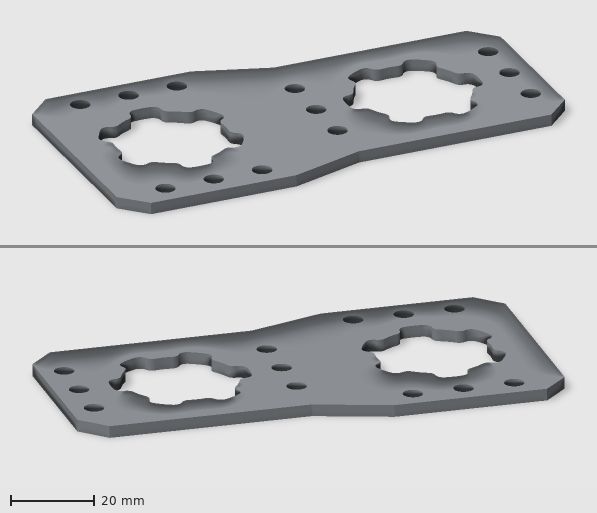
import cadquery as cq

thickness = 3.0
wide_width = 63.0
hole_span = 50.8
hole_diameter = 4.9
corner_chamfer = 6.3

bore_radius = 14.3
lobe_tip_radius = 17.5
lobe_width = 8.1
lobe_count = 6
lobe_fillet = 2.0

pitch = hole_span / 4
edge_margin = (wide_width - hole_span) / 2
hub_spacing = 5 * pitch
length = hub_spacing + hole_span + edge_margin

bottom_y = -length / 2
lower_hub_y = bottom_y + hole_span / 2
upper_hub_y = lower_hub_y + hub_spacing
top_y = length / 2
taper_start_y = lower_hub_y + 1.5 * pitch
taper_end_y = upper_hub_y - hole_span / 2

wide_half = wide_width / 2
narrow_half = hole_span / 2


def plate():
    """Wide lower end tapering to a narrow upper end, with chamfered corners."""
    right_side = [
        (wide_half - corner_chamfer, bottom_y),
        (wide_half, bottom_y + corner_chamfer),
        (wide_half, taper_start_y),
        (narrow_half, taper_end_y),
        (narrow_half, top_y - corner_chamfer),
        (narrow_half - corner_chamfer, top_y),
    ]
    left_side = [(-x, y) for x, y in reversed(right_side)]
    return cq.Workplane("XY").polyline(right_side + left_side).close().extrude(thickness)


def hub_opening(hub_y, first_lobe_angle):
    """Cutter for one lobed opening, with rounded lobe roots and tips."""
    bore_and_bars = cq.Workplane("XY").circle(bore_radius).extrude(thickness)
    for index in range(lobe_count // 2):
        angle = first_lobe_angle + index * 360 / lobe_count
        bar = cq.Workplane("XY").rect(2 * lobe_tip_radius, lobe_width).extrude(thickness)
        bore_and_bars = bore_and_bars.union(bar.rotate((0, 0, 0), (0, 0, 1), angle))
    tip_disc = cq.Workplane("XY").circle(lobe_tip_radius).extrude(thickness)
    opening = tip_disc.intersect(bore_and_bars).edges("|Z").fillet(lobe_fillet)
    return opening.translate((0, hub_y, 0))


def round_holes():
    """Cutter for the hole rows that flank the two hubs."""
    offsets = (-pitch, 0, pitch)
    half_span = hole_span / 2
    centres = []
    for offset in offsets:
        for side in (-half_span, half_span):
            centres.append((offset, upper_hub_y + side))
            centres.append((side, lower_hub_y + offset))
    return cq.Workplane("XY").pushPoints(centres).circle(hole_diameter / 2).extrude(thickness)


result = (
    plate()
    .cut(hub_opening(upper_hub_y, 90))
    .cut(hub_opening(lower_hub_y, 0))
    .cut(round_holes())
)